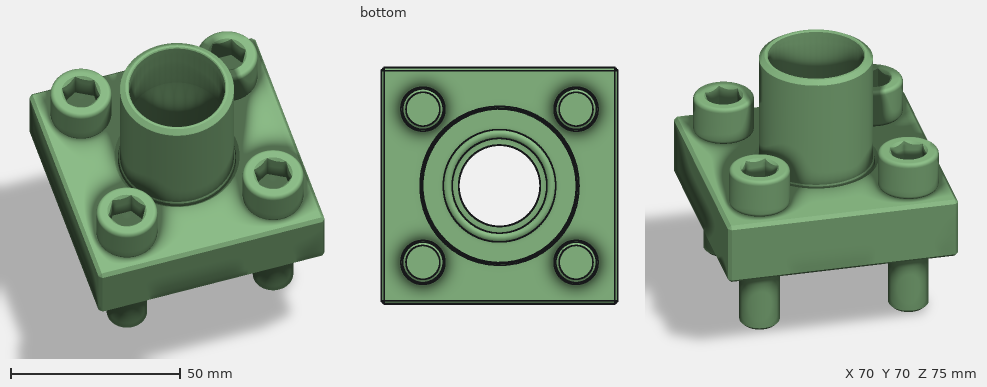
import cadquery as cq
import math

plate_side = 70.0
plate_thickness = 19.0
plate_chamfer = 1.0
neck_hole_diameter = 35.0
neck_hole_chamfer = 1.0
bolt_hole_diameter = 13.0

tube_diameter = 33.76
tube_bore_diameter = 28.5
tube_height_above_plate = 35.0
tube_bevel_width = 1.5
tube_bevel_height = 1.0
tube_lip_chamfer = 0.12
edge_chamfer = 0.3
neck_diameter = 34.5
collar_diameter = 46.0
collar_height = 8.0
collar_protrusion = 1.8
port_diameter = 24.0
taper_top_above_plate = 17.5

recess_diameter = 47.0
recess_depth = collar_height - collar_protrusion

ring_inner_diameter = 28.0
ring_outer_diameter = 33.24
ring_protrusion = 0.9
ring_wire_radius = (ring_outer_diameter - ring_inner_diameter) / 4
ring_center_radius = (ring_outer_diameter + ring_inner_diameter) / 4
groove_depth = 2 * ring_wire_radius - ring_protrusion

bolt_circle_diameter = 64.0
bolt_spacing = bolt_circle_diameter / math.sqrt(2)
bolt_count = 4
corner_angle = 360 / bolt_count
bolt_diameter = 12.0
bolt_length = 40.0
bolt_tip_chamfer = 1.0
head_diameter = 18.0
head_height = 12.0
head_fillet = 1.2
socket_corner_diameter = 11.55
socket_depth = 8.0
socket_sides = 6

socket_mouth_floor_diameter = socket_corner_diameter / 2
socket_mouth_depth = (socket_corner_diameter - socket_mouth_floor_diameter) / 2

plate_top = plate_thickness
tube_top = plate_top + tube_height_above_plate
collar_bottom = -collar_protrusion
collar_top = collar_bottom + collar_height
taper_top = plate_top + taper_top_above_plate


def disc(diameter, bottom, height):
    """Upright cylinder on the Z axis."""
    return cq.Workplane("XY").workplane(offset=bottom).circle(diameter / 2).extrude(height)


def make_plate():
    """Chamfered square plate with the neck hole, the collar recess and four bolt holes."""
    plate = cq.Workplane("XY").box(plate_side, plate_side, plate_thickness, centered=(True, True, False))
    plate = plate.edges().chamfer(plate_chamfer)
    plate = plate.cut(disc(neck_hole_diameter, 0, plate_thickness))
    plate = plate.faces(">Z").edges("%CIRCLE").chamfer(neck_hole_chamfer)
    plate = plate.cut(disc(recess_diameter, 0, recess_depth))
    bolt_holes = (
        cq.Workplane("XY")
        .rect(bolt_spacing, bolt_spacing, forConstruction=True)
        .vertices()
        .circle(bolt_hole_diameter / 2)
        .extrude(plate_thickness)
    )
    return plate.cut(bolt_holes)


def make_nipple():
    """Revolved tube, neck and collar with a bevelled tube end and a bore that tapers to the port."""
    tube_radius = tube_diameter / 2
    bore_radius = tube_bore_diameter / 2
    port_radius = port_diameter / 2
    neck_radius = neck_diameter / 2
    collar_radius = collar_diameter / 2
    shoulder_width = neck_radius - tube_radius
    bevel_bottom_radius = tube_radius - tube_lip_chamfer
    bevel_bottom = tube_top - tube_bevel_height
    half_section = [
        (port_radius, collar_bottom),
        (collar_radius - edge_chamfer, collar_bottom),
        (collar_radius, collar_bottom + edge_chamfer),
        (collar_radius, collar_top),
        (neck_radius, collar_top),
        (neck_radius, plate_top),
        (tube_radius, plate_top + shoulder_width),
        (tube_radius, bevel_bottom - tube_lip_chamfer),
        (bevel_bottom_radius, bevel_bottom),
        (bevel_bottom_radius - tube_bevel_width, tube_top),
        (bore_radius + edge_chamfer, tube_top),
        (bore_radius, tube_top - edge_chamfer),
        (bore_radius, taper_top),
    ]
    nipple = cq.Workplane("XZ").polyline(half_section).close().revolve(360, (0, 0), (0, 1))
    groove = disc(ring_outer_diameter, collar_bottom, groove_depth)
    groove = groove.cut(disc(ring_inner_diameter, collar_bottom, groove_depth))
    return nipple.cut(groove)


def make_seal_ring():
    """O-ring that sits in the collar groove and stands proud of its face."""
    ring_center_z = collar_bottom - ring_protrusion + ring_wire_radius
    return (
        cq.Workplane("XZ")
        .center(ring_center_radius, ring_center_z)
        .circle(ring_wire_radius)
        .revolve(360, (-ring_center_radius, 0), (-ring_center_radius, 1))
    )


def make_bolt(angle):
    """Cap screw seated on the plate, in the corner turned by the angle from the +X +Y corner."""
    head = disc(head_diameter, plate_top, head_height)
    head = head.faces("<Z or >Z").edges().fillet(head_fillet)
    shank = disc(bolt_diameter, plate_top - bolt_length, bolt_length + head_fillet)
    shank = shank.faces("<Z").edges().chamfer(bolt_tip_chamfer)
    head_top = plate_top + head_height
    socket = (
        cq.Workplane("XY")
        .workplane(offset=head_top - socket_depth)
        .polygon(socket_sides, socket_corner_diameter)
        .extrude(socket_depth)
    )
    socket_mouth = (
        cq.Workplane("XY")
        .workplane(offset=head_top)
        .circle(socket_corner_diameter / 2)
        .workplane(offset=-socket_mouth_depth)
        .circle(socket_mouth_floor_diameter / 2)
        .loft()
    )
    bolt = head.union(shank).cut(socket).cut(socket_mouth)
    bolt = bolt.translate((bolt_spacing / 2, bolt_spacing / 2, 0))
    return bolt.rotate((0, 0, 0), (0, 0, 1), angle)


plate = make_plate()
nipple = make_nipple()
seal_ring = make_seal_ring()
bolts = [make_bolt(corner * corner_angle) for corner in range(bolt_count)]

result = cq.Compound.makeCompound(
    [plate.val(), nipple.val(), seal_ring.val(), *[bolt.val() for bolt in bolts]]
)